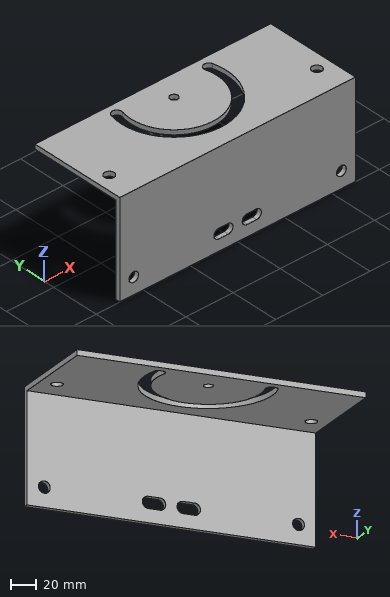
import cadquery as cq
import math

length = 250.0
leg = 100.0
thickness = 5.0

mount_diameter = 10.0
mount_edge_distance = 15.0
mount_x = length / 2 - mount_edge_distance
front_hole_height = 17.0
top_hole_setback = 29.0

slot_length = 20.0
slot_width = 10.0
slot_x = 15.0

pivot_diameter = 8.0
pivot_y = leg - 25.0
arc_radius = 50.5
arc_slot_width = 10.0
arc_end_angle = 15.0


def make_angle():
    """L-shaped profile extruded along X."""
    return (
        cq.Workplane("YZ")
        .moveTo(0, 0)
        .lineTo(thickness, 0)
        .lineTo(thickness, leg - thickness)
        .lineTo(leg, leg - thickness)
        .lineTo(leg, leg)
        .lineTo(0, leg)
        .close()
        .extrude(length / 2, both=True)
    )


def front_cutters():
    """Round holes and short slots through the front leg."""
    plane = cq.Workplane("XZ")
    holes = (
        plane.pushPoints([(-mount_x, front_hole_height), (mount_x, front_hole_height)])
        .circle(mount_diameter / 2)
        .extrude(-thickness)
    )
    slots = (
        plane.pushPoints([(-slot_x, front_hole_height), (slot_x, front_hole_height)])
        .slot2D(slot_length, slot_width)
        .extrude(-thickness)
    )
    return holes.union(slots)


def top_hole_cutters():
    """Mounting holes and pivot hole through the top leg."""
    plane = cq.Workplane("XY").workplane(offset=leg - thickness)
    mounts = (
        plane.pushPoints([(-mount_x, top_hole_setback), (mount_x, top_hole_setback)])
        .circle(mount_diameter / 2)
        .extrude(thickness)
    )
    pivot = plane.center(0, pivot_y).circle(pivot_diameter / 2).extrude(thickness)
    return mounts.union(pivot)


def arc_slot_cutter():
    """Round-ended slot that sweeps around the front of the pivot."""
    angle = math.radians(arc_end_angle)
    end_radius = arc_slot_width / 2
    inner = arc_radius - end_radius
    outer = arc_radius + end_radius

    def end_point(radius, side):
        return (side * radius * math.cos(angle), radius * math.sin(angle))

    tip_x = arc_radius * math.cos(angle) - end_radius * math.sin(angle)
    tip_y = arc_radius * math.sin(angle) + end_radius * math.cos(angle)
    return (
        cq.Workplane("XY", origin=(0, pivot_y, leg - thickness))
        .moveTo(*end_point(outer, -1))
        .threePointArc((0, -outer), end_point(outer, 1))
        .threePointArc((tip_x, tip_y), end_point(inner, 1))
        .threePointArc((0, -inner), end_point(inner, -1))
        .threePointArc((-tip_x, tip_y), end_point(outer, -1))
        .close()
        .extrude(thickness)
    )


result = make_angle().cut(front_cutters()).cut(top_hole_cutters()).cut(arc_slot_cutter())